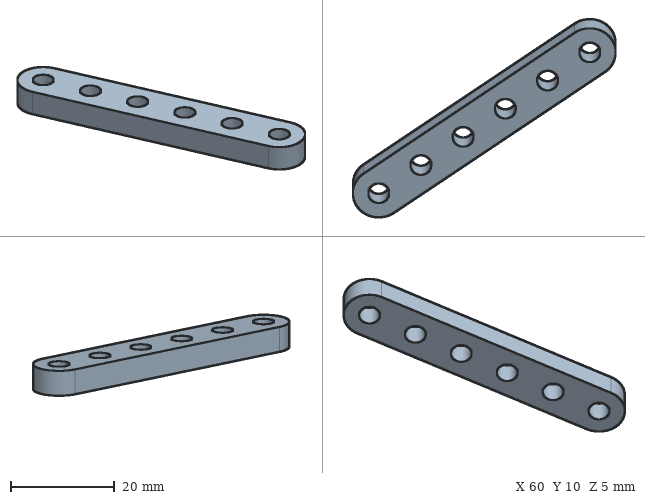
import cadquery as cq

length = 60.0
hole_count = 6
hole_diameter = 4.0

pitch = length / hole_count
width = pitch
thickness = width / 2

bar = cq.Workplane("XY").slot2D(length, width).extrude(thickness)

result = (
    bar.faces(">Z")
    .workplane(origin=(0, 0, thickness))
    .rarray(pitch, pitch, hole_count, 1)
    .hole(hole_diameter)
)